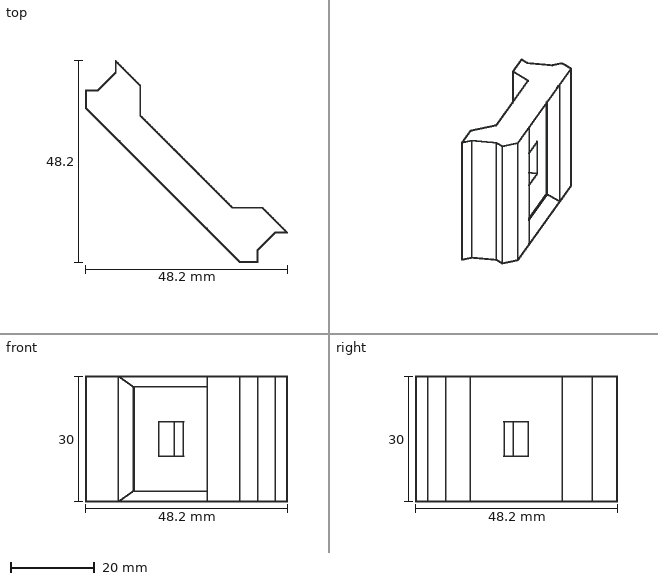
import cadquery as cq
import math

OVERALL = 48.15
HEIGHT = 30.0
DEPTH = 13.05
WEB = 8.0
BACK_HALF = 26.0
FOOT_TOP_HALF_GAP = 20.6
GROOVE_DEPTH = 1.95
POCKET_BEVEL = 2.5
POCKET_STEP = 0.3
WINDOW = 8.2

BEVEL_ANGLE = 45
TIP_HALF = OVERALL * math.sqrt(2) - BACK_HALF - DEPTH
LOWER_TIP = TIP_HALF - BACK_HALF
FOOT_RISE = DEPTH - WEB
POCKET_FLOOR = HEIGHT - 2 * POCKET_BEVEL

profile_plane = cq.Plane(origin=(0, 0, -HEIGHT / 2), xDir=(1, -1, 0), normal=(0, 0, 1))
back_plane = cq.Plane(origin=(0, 0, 0), xDir=(1, -1, 0), normal=(1, 1, 0))


def make_bar():
    """Symmetric bar with a grooved foot at each end, extruded over the full height."""
    half = [
        (BACK_HALF, 0),
        (TIP_HALF, LOWER_TIP),
        (TIP_HALF - GROOVE_DEPTH, LOWER_TIP + GROOVE_DEPTH),
        (TIP_HALF - GROOVE_DEPTH, DEPTH - GROOVE_DEPTH),
        (TIP_HALF, DEPTH),
        (FOOT_TOP_HALF_GAP, DEPTH),
        (FOOT_TOP_HALF_GAP - FOOT_RISE, WEB),
    ]
    mirrored = [(-along, out) for along, out in reversed(half)]
    return cq.Workplane(profile_plane).polyline(half + mirrored).close().extrude(HEIGHT)


def make_pocket():
    """Square pocket in the back face, opening to the full height, with a stepped floor."""
    bevel = cq.Workplane(back_plane).rect(HEIGHT, HEIGHT).extrude(POCKET_BEVEL, taper=BEVEL_ANGLE)
    floor = cq.Workplane(back_plane).rect(POCKET_FLOOR, POCKET_FLOOR).extrude(POCKET_BEVEL + POCKET_STEP)
    return bevel.union(floor)


def make_window():
    """Square window through the web."""
    return cq.Workplane(back_plane).rect(WINDOW, WINDOW).extrude(WEB)


result = make_bar().cut(make_pocket()).cut(make_window())